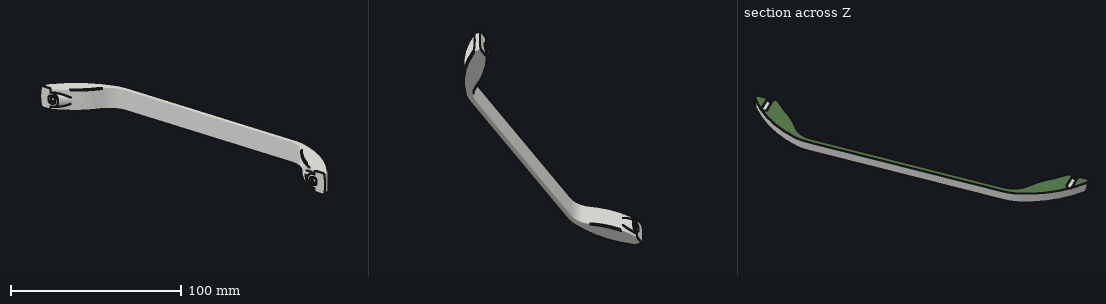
import cadquery as cq
import math

length = 210.0
height = 29.0
width = 14.0
bar_thickness = 4.0
edge_round = 0.52

half_length = length / 2
end_face_height = 3.4
outer_bend_start = 62.0
outer_bend_radius = 29.5
outer_bend_angle = math.radians(17)
inner_bend_start = 61.0
inner_bend_radius = 15.1
inner_bend_angle = math.radians(55)
foot_inner_end = 97.0

end_bulge = 0.8
end_corner_radius = 1.3

hole_position = 96.2
hole_diameter = 3.2
hole_depth = 10.5
countersink_diameter = 5.2
countersink_angle = 90
boss_radius = 4.6
boss_rise = 10.5
boss_slant = math.radians(45)


def bend_point(start, top, radius, angle):
    """Point reached after turning down by angle from the straight bar."""
    return (start + radius * math.sin(angle), top - radius * (1 - math.cos(angle)))


def tangent_arc_middle(start, fall_angle, end):
    """Middle of the arc that leaves start at fall_angle below the x axis and reaches end."""
    run = end[0] - start[0]
    drop = start[1] - end[1]
    quarter_turn = (math.atan2(drop, run) - fall_angle) / 2
    bulge = math.tan(quarter_turn) / 2
    return (start[0] + run / 2 + bulge * drop, end[1] + drop / 2 + bulge * run)


def handle_body():
    inner_top = height - bar_thickness
    outer = (outer_bend_start, height, outer_bend_radius)
    inner = (inner_bend_start, inner_top, inner_bend_radius)
    outer_bend_end = bend_point(*outer, outer_bend_angle)
    inner_bend_end = bend_point(*inner, inner_bend_angle)
    outer_tip = (half_length, end_face_height)
    inner_tip = (foot_inner_end, 0)
    outer_belly = tangent_arc_middle(outer_bend_end, outer_bend_angle, outer_tip)
    inner_belly = tangent_arc_middle(inner_bend_end, inner_bend_angle, inner_tip)
    half = (
        cq.Workplane("XY", origin=(0, 0, -width / 2))
        .moveTo(0, height)
        .lineTo(outer_bend_start, height)
        .threePointArc(bend_point(*outer, outer_bend_angle / 2), outer_bend_end)
        .threePointArc(outer_belly, outer_tip)
        .lineTo(half_length, 0)
        .lineTo(*inner_tip)
        .threePointArc(inner_belly, inner_bend_end)
        .threePointArc(bend_point(*inner, inner_bend_angle / 2), (inner_bend_start, inner_top))
        .lineTo(0, inner_top)
        .close()
        .extrude(width)
    )
    long_edges = half.faces("|Z").edges().filter(
        lambda edge: edge.Center().y > end_face_height and edge.Center().x > edge_round
    )
    half = long_edges.fillet(edge_round)
    return half.union(half.mirror("YZ"))


def end_envelope():
    """Block with bulged ends and rounded corners that trims the handle."""
    shoulder = half_length - end_bulge
    return (
        cq.Workplane("XZ")
        .moveTo(-shoulder, -width / 2)
        .lineTo(shoulder, -width / 2)
        .threePointArc((half_length, 0), (shoulder, width / 2))
        .lineTo(-shoulder, width / 2)
        .threePointArc((-half_length, 0), (-shoulder, -width / 2))
        .close()
        .extrude(-height)
        .edges("|Y")
        .fillet(end_corner_radius)
    )


def boss(side):
    """Round boss leaning toward the middle of the handle."""
    lean = boss_rise * math.tan(boss_slant)
    foot = cq.Wire.makeCircle(boss_radius, cq.Vector(side * hole_position, 0, 0), cq.Vector(0, 1, 0))
    return cq.Workplane(cq.Solid.extrudeLinear(foot, [], cq.Vector(-side * lean, boss_rise, 0)))


def screw_hole(side):
    mouth_radius = countersink_diameter / 2
    hole_radius = hole_diameter / 2
    countersink_depth = (mouth_radius - hole_radius) / math.tan(math.radians(countersink_angle / 2))
    return (
        cq.Workplane("XY", origin=(side * hole_position, 0, 0))
        .polyline([
            (0, 0),
            (mouth_radius, 0),
            (hole_radius, countersink_depth),
            (hole_radius, hole_depth),
            (0, hole_depth + hole_radius),
        ])
        .close()
        .revolve(360, (0, 0, 0), (0, 1, 0))
    )


result = handle_body().intersect(end_envelope())
for side in (-1, 1):
    result = result.union(boss(side))
for side in (-1, 1):
    result = result.cut(screw_hole(side))